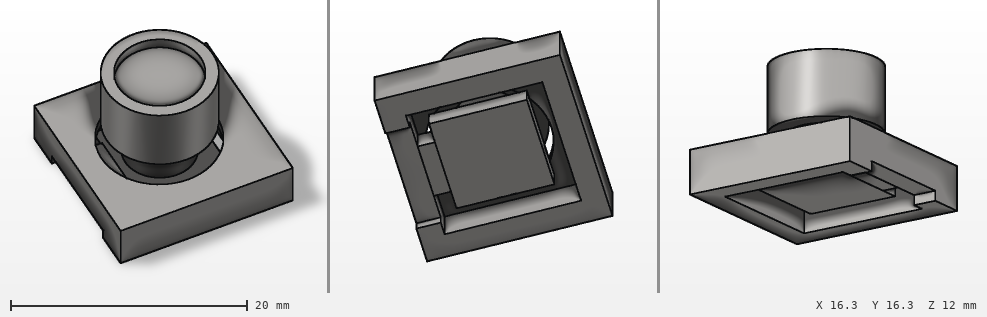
import cadquery as cq

housing_side = 16.3
housing_height = 4.0
roof_thickness = 1.0
cavity_side = 12.0
button_hole_diameter = 10.87
button_hole_center = (-0.07, -0.37)

slot_width = 9.63
slot_height = 0.9

switch_center_x = -0.07
switch_width = 8.55
switch_front_y = -4.48
switch_rear_y = 4.12
switch_bottom_z = slot_height
switch_top_z = 2.5
stem_diameter = 6.52
stem_center = (switch_center_x, -0.33)

cap_diameter = 10.0
cap_bottom_z = 6.0
cap_height = 6.0
cap_recess_diameter = 7.75
cap_recess_depth = 1.0

connector_center_x = -0.15
connector_width = 5.0
connector_top_z = 2.87


def block(x_center, width, y_min, y_max, z_min, z_max):
    """Upright box centred on x_center, between the given Y and Z limits."""
    return cq.Workplane("XY").box(
        width, y_max - y_min, z_max - z_min, centered=(True, False, False)
    ).translate((x_center, y_min, z_min))


def cylinder(center, diameter, z_min, z_max):
    """Vertical cylinder between two heights."""
    return cq.Workplane("XY", origin=(*center, z_min)).circle(diameter / 2).extrude(z_max - z_min)


def make_housing():
    half_side = housing_side / 2
    half_cavity = cavity_side / 2
    plate = block(0, housing_side, -half_side, half_side, 0, housing_height)
    cavity = block(0, cavity_side, -half_cavity, half_cavity, 0, housing_height - roof_thickness)
    button_hole = cylinder(button_hole_center, button_hole_diameter, 0, housing_height)
    cable_slot = block(0, slot_width, -half_side, 0, 0, slot_height)
    return plate.cut(cavity).cut(button_hole).cut(cable_slot)


def make_switch():
    body = block(
        switch_center_x, switch_width, switch_front_y, switch_rear_y, switch_bottom_z, switch_top_z
    )
    stem = cylinder(stem_center, stem_diameter, switch_bottom_z, cap_bottom_z)
    return body.union(stem)


def make_cap():
    cap_top_z = cap_bottom_z + cap_height
    cap = cylinder(stem_center, cap_diameter, cap_bottom_z, cap_top_z)
    recess = cylinder(stem_center, cap_recess_diameter, cap_top_z - cap_recess_depth, cap_top_z)
    return cap.cut(recess)


def make_connector():
    return block(
        connector_center_x,
        connector_width,
        -cavity_side / 2,
        switch_front_y,
        switch_bottom_z,
        connector_top_z,
    )


housing = make_housing()
switch = make_switch()
cap = make_cap()
connector = make_connector()

result = cq.Compound.makeCompound([housing.val(), switch.val(), cap.val(), connector.val()])